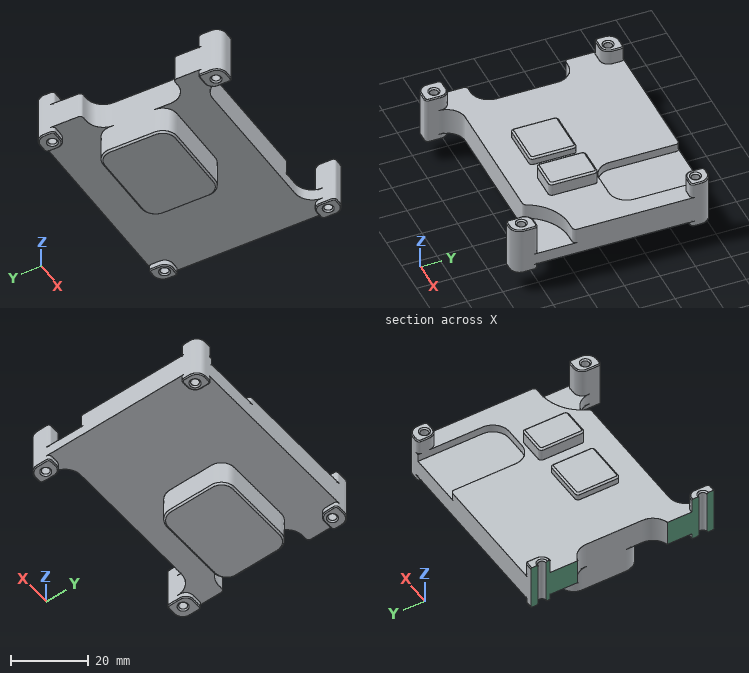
import cadquery as cq
import math

LENGTH = 64.45
WIDTH = 56.0
PLATE_HEIGHT = 8.0
OUTER_RADIUS = 3.0
EDGE_RADIUS = 1.0
RECESS_RADIUS = 5.2

CUT_OVERRUN = 10.0

FRONT_EDGE_Y = 9.0
SIDE_RECESS_DEPTH = 7.5
SIDE_RECESS_WIDTH = 27.5

HOLE_MARGIN = 3.5
HOLE_PITCH_X = 58.0
HOLE_PITCH_Y = 49.0
HOLE_DIAMETER = 2.3
HOLE_CHAMFER = 0.4
LEFT_POST_WIDTH = 6.2
RIGHT_POST_WIDTH = 5.45
FRONT_POST_DEPTH = 7.0
BACK_POST_DEPTH = 6.0
POST_BOTTOM = -1.8
POST_TOP = 12.5
POST_INNER_RADIUS = 2.5
POST_CHAMFER = 0.3

BLOCK_LENGTH = 28.2
BLOCK_WIDTH = 22.1
BLOCK_START_Y = 19.95
BLOCK_HEIGHT = 8.3
BLOCK_RADIUS = 4.3

SQUARE_PAD_SIZE = 13.2
SQUARE_PAD_HEIGHT = 2.25
SQUARE_PAD_CENTER_X = 29.25
TALL_PAD_LENGTH = 9.0
TALL_PAD_WIDTH = 13.7
TALL_PAD_HEIGHT = 4.0
TALL_PAD_CENTER_X = 44.8
PAD_CENTER_Y = 23.5
RIM_CHAMFER = 0.5

POCKET_LEFT_X = 42.8
POCKET_FRONT_Y = 31.3
POCKET_DEPTH = 2.4
POCKET_RADIUS = 5.0

STEP_FLOOR_Z = 3.5
STEP_LEFT_X = 49.15
STEP_BACK_Y = 16.95
STEP_RADIUS = 12.25

LEFT_HOLE_X = HOLE_MARGIN
RIGHT_HOLE_X = HOLE_MARGIN + HOLE_PITCH_X
FRONT_HOLE_Y = HOLE_MARGIN
BACK_HOLE_Y = HOLE_MARGIN + HOLE_PITCH_Y
RIGHT_POST_X = LENGTH - RIGHT_POST_WIDTH
POST_HEIGHT = POST_TOP - POST_BOTTOM


def box(x0, x1, y0, y1, z0, z1):
    """Box spanning the given limits along X, Y and Z."""
    return cq.Workplane("XY").box(x1 - x0, y1 - y0, z1 - z0, centered=False).translate((x0, y0, z0))


def round_upright(solid, radius, *corners):
    """Fillet the upright edges that stand at the given (x, y) corners."""
    tolerance = 0.01
    for x, y in corners:
        selector = cq.selectors.BoxSelector(
            (x - tolerance, y - tolerance, POST_BOTTOM - BLOCK_HEIGHT),
            (x + tolerance, y + tolerance, POST_TOP),
        )
        solid = solid.edges("|Z").edges(selector).fillet(radius)
    return solid


def make_plate():
    """Plate with a front recess between two arms and a recess in its left side."""
    recess_front_y = (WIDTH - SIDE_RECESS_WIDTH) / 2
    recess_back_y = (WIDTH + SIDE_RECESS_WIDTH) / 2
    plate = box(0, LENGTH, 0, WIDTH, 0, PLATE_HEIGHT)
    plate = plate.edges("|Z").fillet(OUTER_RADIUS)
    front_recess = box(LEFT_POST_WIDTH, RIGHT_POST_X, -CUT_OVERRUN, FRONT_EDGE_Y, 0, PLATE_HEIGHT)
    front_recess = front_recess.edges("|Z and >Y").fillet(RECESS_RADIUS)
    side_recess = box(-CUT_OVERRUN, SIDE_RECESS_DEPTH, recess_front_y, recess_back_y, 0, PLATE_HEIGHT)
    side_recess = side_recess.edges("|Z and >X").fillet(RECESS_RADIUS)
    plate = plate.cut(front_recess).cut(side_recess)
    recess_tips = ((0, recess_front_y), (0, recess_back_y))
    arm_tips = ((LEFT_POST_WIDTH, 0), (RIGHT_POST_X, 0))
    return round_upright(plate, EDGE_RADIUS, *recess_tips, *arm_tips)


def cut_pocket(plate):
    """Sink the pocket that runs out through the back edge beside the right post."""
    floor_z = PLATE_HEIGHT - POCKET_DEPTH
    pocket = box(POCKET_LEFT_X, RIGHT_POST_X, POCKET_FRONT_Y, WIDTH + CUT_OVERRUN, floor_z, PLATE_HEIGHT)
    pocket = pocket.edges("|Z and <Y").fillet(POCKET_RADIUS)
    return round_upright(plate.cut(pocket), EDGE_RADIUS, (POCKET_LEFT_X, WIDTH))


def cut_step(plate):
    """Lower the front-right arm, with a large round at the inner corner of the step."""
    step = box(STEP_LEFT_X, LENGTH + CUT_OVERRUN, -CUT_OVERRUN, STEP_BACK_Y, STEP_FLOOR_Z, PLATE_HEIGHT)
    step = round_upright(step, STEP_RADIUS, (STEP_LEFT_X, STEP_BACK_Y))
    center_x = STEP_LEFT_X + STEP_RADIUS
    center_y = STEP_BACK_Y - STEP_RADIUS
    front_x = center_x - math.sqrt(STEP_RADIUS**2 - (FRONT_EDGE_Y - center_y) ** 2)
    return round_upright(plate.cut(step), EDGE_RADIUS, (front_x, FRONT_EDGE_Y), (LENGTH, STEP_BACK_Y))


def make_post(outer_x, inner_x, outer_y, inner_y):
    """Corner post between its outer corner and the corner facing the plate centre."""
    x0, x1 = sorted((outer_x, inner_x))
    y0, y1 = sorted((outer_y, inner_y))
    post = box(x0, x1, y0, y1, POST_BOTTOM, POST_TOP)
    post = round_upright(post, OUTER_RADIUS, (outer_x, outer_y))
    post = round_upright(post, POST_INNER_RADIUS, (inner_x, inner_y))
    post = round_upright(post, EDGE_RADIUS, (outer_x, inner_y), (inner_x, outer_y))
    return post.faces("<Z or >Z").chamfer(POST_CHAMFER)


def make_hole(x, y):
    """Through hole cutter, widened by a chamfer at both post ends."""
    cutter = cq.Workplane("XY", origin=(x, y, POST_BOTTOM)).circle(HOLE_DIAMETER / 2).extrude(POST_HEIGHT)
    mouth_radius = HOLE_DIAMETER / 2 + HOLE_CHAMFER
    for end_z, inward in ((POST_BOTTOM, 1), (POST_TOP, -1)):
        cone = cq.Solid.makeCone(
            mouth_radius,
            HOLE_DIAMETER / 2,
            HOLE_CHAMFER,
            pnt=cq.Vector(x, y, end_z),
            dir=cq.Vector(0, 0, inward),
        )
        cutter = cutter.union(cq.Workplane(cone))
    return cutter


def make_pad(center_x, length, width, height):
    """Raised pad with rounded corners and a chamfered top rim."""
    base = cq.Workplane("XY", origin=(center_x, PAD_CENTER_Y, PLATE_HEIGHT))
    pad = base.rect(length, width).extrude(height)
    return pad.edges("|Z").fillet(EDGE_RADIUS).faces(">Z").chamfer(RIM_CHAMFER)


def make_block():
    """Block hanging under the plate, with a chamfered lower rim."""
    block = box(
        SIDE_RECESS_DEPTH,
        SIDE_RECESS_DEPTH + BLOCK_LENGTH,
        BLOCK_START_Y,
        BLOCK_START_Y + BLOCK_WIDTH,
        -BLOCK_HEIGHT,
        0,
    )
    return block.edges("|Z").fillet(BLOCK_RADIUS).faces("<Z").chamfer(RIM_CHAMFER)


result = cut_step(cut_pocket(make_plate()))
result = result.union(make_block())
result = result.union(make_pad(SQUARE_PAD_CENTER_X, SQUARE_PAD_SIZE, SQUARE_PAD_SIZE, SQUARE_PAD_HEIGHT))
result = result.union(make_pad(TALL_PAD_CENTER_X, TALL_PAD_LENGTH, TALL_PAD_WIDTH, TALL_PAD_HEIGHT))

for outer_x, inner_x in ((0, LEFT_POST_WIDTH), (LENGTH, RIGHT_POST_X)):
    for outer_y, inner_y in ((0, FRONT_POST_DEPTH), (WIDTH, WIDTH - BACK_POST_DEPTH)):
        result = result.union(make_post(outer_x, inner_x, outer_y, inner_y))

for hole_x in (LEFT_HOLE_X, RIGHT_HOLE_X):
    for hole_y in (FRONT_HOLE_Y, BACK_HOLE_Y):
        result = result.cut(make_hole(hole_x, hole_y))